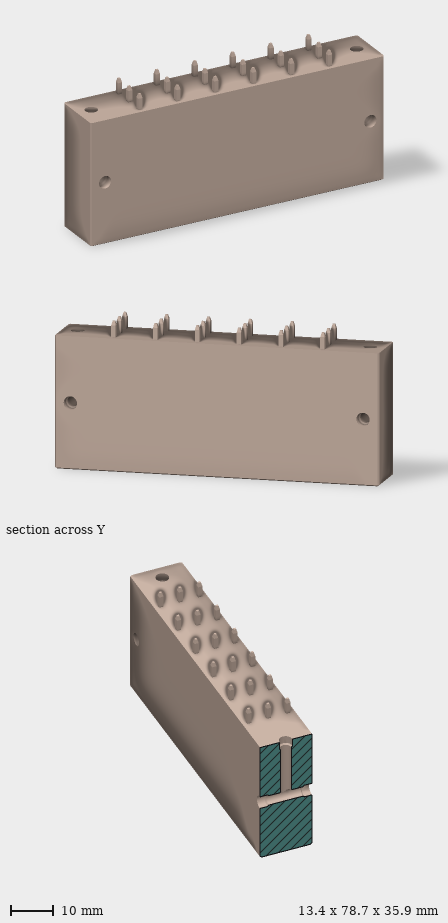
import cadquery as cq

block_width = 13.4
block_length = 78.7
block_height = 32.0
bevel_inset = 0.5
bevel_depth = 0.3

pin_side = 1.1
pin_height = 3.9
pin_tip_height = 1.0
pin_tip_side = 0.55
pin_columns = 3
pin_rows = 6
pin_column_pitch = 5.0
pin_row_pitch = 10.15

hole_bore_diameter = 2.6
hole_mouth_diameter = 3.2
hole_mouth_depth = 2.0
hole_spacing = 71.1
cross_hole_height = 16.0


def make_block():
    """Block with shallow bevels around its end faces and its underside."""
    side_length = block_length - 2 * bevel_depth
    end_width = block_width - 2 * bevel_inset
    outline = [
        (end_width / 2, -block_length / 2),
        (block_width / 2, -side_length / 2),
        (block_width / 2, side_length / 2),
        (end_width / 2, block_length / 2),
        (-end_width / 2, block_length / 2),
        (-block_width / 2, side_length / 2),
        (-block_width / 2, -side_length / 2),
        (-end_width / 2, -block_length / 2),
    ]
    block = cq.Workplane("XY").polyline(outline).close().extrude(block_height)
    return block.faces("<Z").edges().chamfer(bevel_depth, bevel_inset)


def make_pins():
    """Square pins with tapered tips, rooted on the top face."""
    shank_height = pin_height - pin_tip_height
    pin_positions = cq.Workplane("XY", origin=(0, 0, block_height)).rarray(
        pin_column_pitch, pin_row_pitch, pin_columns, pin_rows
    )
    shank = cq.Workplane("XY").rect(pin_side, pin_side).extrude(shank_height)
    tip = (
        cq.Workplane("XY", origin=(0, 0, shank_height))
        .rect(pin_side, pin_side)
        .workplane(offset=pin_tip_height)
        .rect(pin_tip_side, pin_tip_side)
        .loft(ruled=True)
    )
    pin = shank.union(tip).val()
    return pin_positions.eachpoint(lambda location: pin.moved(location))


def make_hole(axis, start, depth):
    """Cutter for a bore with a wider mouth that ends in a conical shoulder."""
    mouth_radius = hole_mouth_diameter / 2
    bore_radius = hole_bore_diameter / 2
    shoulder_height = mouth_radius - bore_radius
    shoulder_start = start + axis * hole_mouth_depth
    bore = cq.Solid.makeCylinder(bore_radius, depth, start, axis)
    mouth = cq.Solid.makeCylinder(mouth_radius, hole_mouth_depth, start, axis)
    shoulder = cq.Solid.makeCone(mouth_radius, bore_radius, shoulder_height, shoulder_start, axis)
    return bore.fuse(mouth, shoulder)


result = make_block().union(make_pins())

for hole_y in (-hole_spacing / 2, hole_spacing / 2):
    for side in (-1, 1):
        side_start = cq.Vector(side * block_width / 2, hole_y, cross_hole_height)
        result = result.cut(make_hole(cq.Vector(-side, 0, 0), side_start, block_width / 2))

    top_start = cq.Vector(0, hole_y, block_height)
    top_depth = block_height - cross_hole_height
    result = result.cut(make_hole(cq.Vector(0, 0, -1), top_start, top_depth))